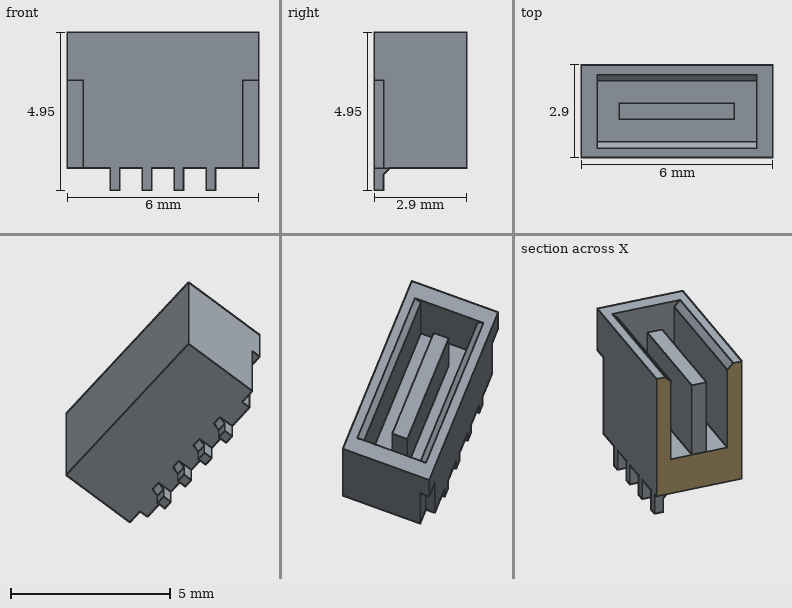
import cadquery as cq

housing_length = 6.0
housing_width = 2.9
housing_height = 4.25
front_y = -housing_width / 2

cavity_length = 5.0
cavity_width = 1.9
cavity_depth = 3.0
lead_in = 0.2
cavity_floor_z = housing_height - cavity_depth

tongue_length = 3.6
tongue_width = 0.5
tongue_recess = 0.5
tongue_height = cavity_depth - tongue_recess

rebate_length = (housing_length - cavity_length) / 2
rebate_width = 0.3
rebate_height = 2.75

pin_count = 4
pin_pitch = 1.0
pin_thickness = 0.3
pin_length = 0.7
pin_gusset = 0.2


def make_housing():
    return cq.Workplane("XY").box(
        housing_length, housing_width, housing_height, centered=(True, True, False)
    )


def make_cavity():
    """Cavity volume: a YZ profile with flared mouth, extruded along X."""
    half_width = cavity_width / 2
    half_mouth = half_width + lead_in
    bevel_z = housing_height - lead_in
    profile = [
        (-half_width, cavity_floor_z),
        (half_width, cavity_floor_z),
        (half_width, bevel_z),
        (half_mouth, housing_height),
        (-half_mouth, housing_height),
        (-half_width, bevel_z),
    ]
    return cq.Workplane("YZ").polyline(profile).close().extrude(cavity_length / 2, both=True)


def make_tongue():
    return (
        cq.Workplane("XY")
        .workplane(offset=cavity_floor_z)
        .rect(tongue_length, tongue_width)
        .extrude(tongue_height)
    )


def make_corner_rebate(side):
    """Rebate volume at the left (side = -1) or right (side = 1) front corner."""
    center_x = side * (housing_length - rebate_length) / 2
    center_y = front_y + rebate_width / 2
    return (
        cq.Workplane("XY")
        .center(center_x, center_y)
        .rect(rebate_length, rebate_width)
        .extrude(rebate_height)
    )


def make_pin(center_x):
    """Pin flush with the front face, with a sloped gusset behind its root."""
    back_y = front_y + pin_thickness
    profile = [
        (front_y, 0),
        (back_y + pin_gusset, 0),
        (back_y, -pin_gusset),
        (back_y, -pin_length),
        (front_y, -pin_length),
    ]
    return (
        cq.Workplane("YZ", origin=(center_x, 0, 0))
        .polyline(profile)
        .close()
        .extrude(pin_thickness / 2, both=True)
    )


result = make_housing().cut(make_cavity()).union(make_tongue())

for side in (-1, 1):
    result = result.cut(make_corner_rebate(side))

for index in range(pin_count):
    pin_x = (index - (pin_count - 1) / 2) * pin_pitch
    result = result.union(make_pin(pin_x))